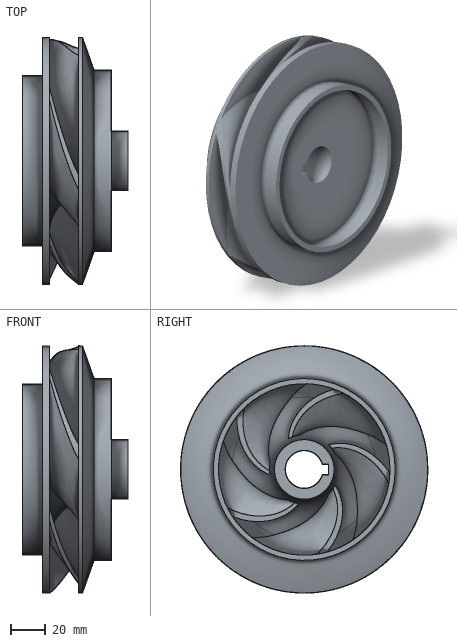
import cadquery as cq
import math


disc_back = 11.7
disc_front = 16.0
shroud_back = 32.9
rim_front = 35.2
cone_front = 42.0
eye_front = 52.2
hub_front = 62.0

outer_radius = 145 / 2
ring_outer_radius = 100 / 2
ring_inner_radius = 94.0 / 2
eye_outer_radius = 106.6 / 2
eye_inner_radius = 100.5 / 2
hub_radius = 35.0 / 2
hub_fillet_radius = 25.0

bore_radius = 22.0 / 2
key_width = 6.0
key_reach = 14.2

blade_count = 5
blade_pitch = 360 / blade_count
blade_start_angle = 128.8
blade_angular_width = 7.0
sweep_per_unit = 1.586
twist_rate = 43 / (shroud_back - disc_front)
blade_embed = 1.2
blade_waist_radius = 69.9
blade_inner_radius = 20.3
spiral_inner_radius = 17.4
spiral_outer_radius = 75.4
spiral_steps = 11


def revolve_about_shaft(outline):
    """Turn a closed (X, radius) outline about the X axis."""
    return outline.close().revolve(360, (0, 0, 0), (1, 0, 0))


def make_back_disc():
    """Disc and hub joined by a large concave fillet, with the wear ring behind."""
    arc_offset = hub_fillet_radius * (1 - math.sqrt(0.5))
    return revolve_about_shaft(
        cq.Workplane("XY")
        .moveTo(disc_back, 0)
        .lineTo(disc_back, ring_inner_radius)
        .lineTo(0, ring_inner_radius)
        .lineTo(0, ring_outer_radius)
        .lineTo(disc_back, ring_outer_radius)
        .lineTo(disc_back, outer_radius)
        .lineTo(disc_front, outer_radius)
        .lineTo(disc_front, hub_radius + hub_fillet_radius)
        .threePointArc(
            (disc_front + arc_offset, hub_radius + arc_offset),
            (disc_front + hub_fillet_radius, hub_radius),
        )
        .lineTo(hub_front, hub_radius)
        .lineTo(hub_front, 0)
    )


def make_shroud():
    """Front shroud: thin rim, conical front and cylindrical inlet eye."""
    return revolve_about_shaft(
        cq.Workplane("XY")
        .moveTo(shroud_back, eye_inner_radius)
        .lineTo(shroud_back, outer_radius)
        .lineTo(rim_front, outer_radius)
        .lineTo(cone_front, eye_outer_radius)
        .lineTo(eye_front, eye_outer_radius)
        .lineTo(eye_front, eye_inner_radius)
    )


def spiral_point(radius, tip_angle):
    """Point of a blade face whose angle is tip_angle at the outer radius."""
    angle = math.radians(tip_angle + sweep_per_unit * (outer_radius - radius))
    return radius * math.cos(angle), radius * math.sin(angle)


def make_blades():
    """Twisted spiral blades, trimmed to a slightly waisted tip and a round inner end."""
    back = disc_front - blade_embed
    front = shroud_back + blade_embed
    start_angle = blade_start_angle - twist_rate * blade_embed
    step = (spiral_outer_radius - spiral_inner_radius) / (spiral_steps - 1)
    radii = [spiral_inner_radius + step * i for i in range(spiral_steps)]
    half_width = blade_angular_width / 2
    leading_face = [spiral_point(r, start_angle - half_width) for r in radii]
    trailing_face = [spiral_point(r, start_angle + half_width) for r in reversed(radii)]
    plate = (
        cq.Workplane("YZ", origin=(back, 0, 0))
        .moveTo(*leading_face[0])
        .spline(leading_face[1:], includeCurrent=True)
        .lineTo(*trailing_face[0])
        .spline(trailing_face[1:], includeCurrent=True)
        .close()
        .twistExtrude(front - back, twist_rate * (front - back))
    )
    envelope = revolve_about_shaft(
        cq.Workplane("XY")
        .moveTo(back, blade_inner_radius)
        .lineTo(back, outer_radius)
        .lineTo(disc_front, outer_radius)
        .threePointArc(
            ((disc_front + shroud_back) / 2, blade_waist_radius),
            (shroud_back, outer_radius),
        )
        .lineTo(front, outer_radius)
        .lineTo(front, blade_inner_radius)
    )
    blade = plate.intersect(envelope)
    return [blade.rotate((0, 0, 0), (1, 0, 0), blade_pitch * i) for i in range(blade_count)]


def make_bore():
    """Through bore with a single keyway on the +Y side."""
    bore = cq.Workplane("YZ").circle(bore_radius).extrude(hub_front)
    keyway = cq.Workplane("YZ").rect(key_reach, key_width).extrude(hub_front)
    return bore.union(keyway.translate((0, key_reach / 2, 0)))


result = make_back_disc().union(make_shroud())
for blade in make_blades():
    result = result.union(blade)
result = result.cut(make_bore())